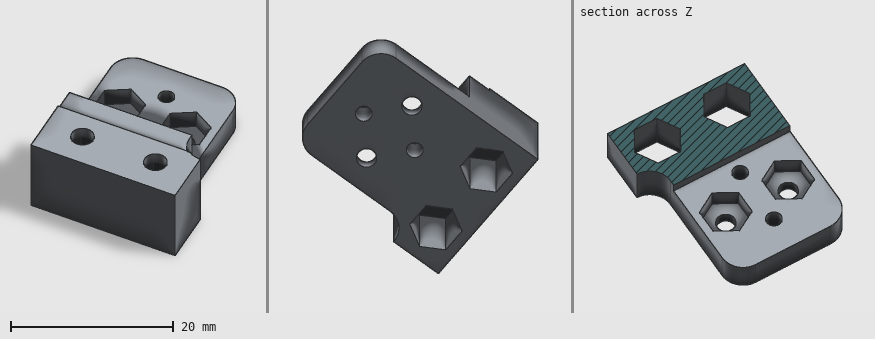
import cadquery as cq
import math

width = 19.8
length = 25.2
height = 10.5

plate_thickness = 4.0
corner_radius = 3.0
plate_width = width - corner_radius

block_depth = 10.75
ledge_depth = 3.18
ledge_drop = 0.5

block_hole_diameter = 2.9
block_hole_spacing = 10.0
block_hole_center_x = 10.05
block_hole_y = 4.1
block_hole_seat = 1.49

plate_center_x = plate_width / 2
nut_spacing = 9.0
nut_y = 16.7
nut_across_flats = 5.62
nut_depth = 2.5
nut_hole_diameter = 2.5

small_hole_diameter = 2.05
small_hole_spacing = 8.0


def make_body():
    """Plate with rounded rear corners, raised block and rear ledge."""
    wide_front_depth = 7.0
    arc_center_y = wide_front_depth + corner_radius
    arc_offset = corner_radius * math.sqrt(0.5)
    outline = (
        cq.Workplane("XY")
        .lineTo(width, 0)
        .lineTo(width, wide_front_depth)
        .threePointArc((width - arc_offset, arc_center_y - arc_offset), (plate_width, arc_center_y))
        .lineTo(plate_width, length)
        .lineTo(0, length)
        .close()
        .extrude(height)
    )
    outline = outline.edges("|Z and >Y").fillet(corner_radius)
    above_plate = cq.Workplane("XY").box(width, length - block_depth, height, centered=False)
    above_ledge = cq.Workplane("XY").box(width, ledge_depth, ledge_drop, centered=False)
    return outline.cut(above_plate.translate((0, block_depth, plate_thickness))).cut(
        above_ledge.translate((0, block_depth - ledge_depth, height - ledge_drop))
    )


def round_holes(points, diameter):
    """Vertical round cutters rising from the underside."""
    return cq.Workplane("XY").pushPoints(points).circle(diameter / 2).extrude(height)


def hex_pockets(points, floor, depth, corner_angle):
    """Hexagonal cutters rising from the floor; a corner points at corner_angle from X."""
    corner_diameter = nut_across_flats / math.cos(math.pi / 6)
    pocket = cq.Workplane("XY").polygon(6, corner_diameter).extrude(depth)
    pocket = pocket.rotate((0, 0, 0), (0, 0, 1), corner_angle)
    pockets = cq.Workplane("XY")
    for x, y in points:
        pockets = pockets.add(pocket.translate((x, y, floor)))
    return pockets.combine()


block_hole_points = [(block_hole_center_x + side * block_hole_spacing / 2, block_hole_y) for side in (-1, 1)]
nut_points = [(plate_center_x + side * nut_spacing / 2, nut_y) for side in (-1, 1)]
small_hole_points = [(plate_center_x, nut_y + side * small_hole_spacing / 2) for side in (-1, 1)]

result = (
    make_body()
    .cut(round_holes(block_hole_points, block_hole_diameter))
    .cut(hex_pockets(block_hole_points, 0, height - block_hole_seat, 0))
    .cut(round_holes(nut_points, nut_hole_diameter))
    .cut(round_holes(small_hole_points, small_hole_diameter))
    .cut(hex_pockets(nut_points, plate_thickness - nut_depth, nut_depth, 90))
)